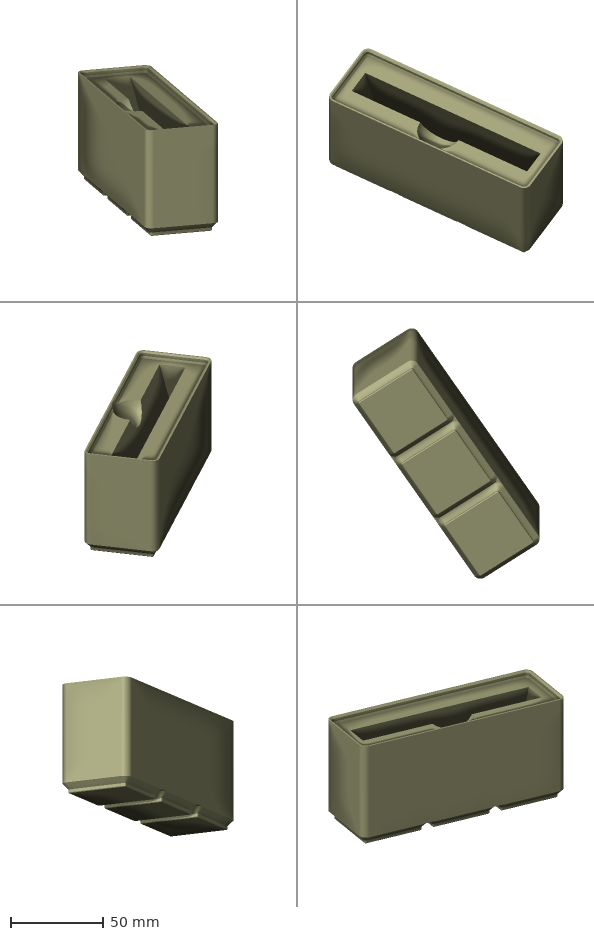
import cadquery as cq
import math

LENGTH = 125.5
WIDTH = 41.5
HEIGHT = 60.2
CORNER_RADIUS = 4.0

FOOT_COUNT = 3
CELL_CLEARANCE = 0.4
CELL_PITCH = (LENGTH + CELL_CLEARANCE) / FOOT_COUNT
CELL_WIDTH = WIDTH + CELL_CLEARANCE
FOOT_STEP = 3.4
FOOT_WALL_HEIGHT = 2.0
FOOT_CORNER_RADIUS = 0.8
FOOT_CHAMFER = 0.4
FOOT_HEIGHT = FOOT_WALL_HEIGHT + FOOT_STEP

LIP_RIM = 0.94
LIP_WALL_INSET = 1.8
LIP_WALL_HEIGHT = 1.8
LIP_FLOOR_INSET = 2.8
LIP_UPPER_SLOPE = LIP_WALL_INSET - LIP_RIM
LIP_LOWER_SLOPE = LIP_FLOOR_INSET - LIP_WALL_INSET
LIP_DEPTH = LIP_UPPER_SLOPE + LIP_WALL_HEIGHT + LIP_LOWER_SLOPE
SHELF_Z = HEIGHT - LIP_DEPTH

SLOT_LENGTH = 110.0
SLOT_THICKNESS = 13.9
SLOT_DEPTH = 51.1
SLOT_LEAN = 15.0
SLOT_FRONT_Y = -7.0

SCOOP_RADIUS = 12.5

SLOPE_ANGLE = 45.0


def rounded_prism(length, width, radius, base_z, height, flare=0.0):
    """Upright rounded rectangle; a positive flare angle widens it upwards."""
    outline = cq.Sketch().rect(length, width).vertices().fillet(radius)
    return cq.Workplane("XY", origin=(0, 0, base_z)).placeSketch(outline).extrude(height, taper=-flare)


def inset_prism(inset, base_z, height, flare=0.0):
    """Prism whose base is the body outline moved inwards by the inset."""
    return rounded_prism(
        LENGTH - 2 * inset, WIDTH - 2 * inset, CORNER_RADIUS - inset, base_z, height, flare
    )


def make_foot():
    length = CELL_PITCH - 2 * FOOT_STEP
    width = CELL_WIDTH - 2 * FOOT_STEP
    pad = rounded_prism(length, width, FOOT_CORNER_RADIUS, 0, FOOT_WALL_HEIGHT)
    pad = pad.faces("<Z").edges().chamfer(FOOT_CHAMFER)
    slope = rounded_prism(length, width, FOOT_CORNER_RADIUS, FOOT_WALL_HEIGHT, FOOT_STEP, SLOPE_ANGLE)
    return pad.union(slope)


def make_body():
    body = inset_prism(0, FOOT_HEIGHT, HEIGHT - FOOT_HEIGHT)
    trim = inset_prism(0, 0, HEIGHT)
    foot = make_foot()
    for index in range(FOOT_COUNT):
        foot_x = (index - (FOOT_COUNT - 1) / 2) * CELL_PITCH
        body = body.union(foot.translate((foot_x, 0, 0)).intersect(trim))
    return body


def make_lip_recess():
    wall_z = SHELF_Z + LIP_LOWER_SLOPE
    lower = inset_prism(LIP_FLOOR_INSET, SHELF_Z, LIP_LOWER_SLOPE, SLOPE_ANGLE)
    wall = inset_prism(LIP_WALL_INSET, wall_z, LIP_WALL_HEIGHT)
    upper = inset_prism(LIP_WALL_INSET, wall_z + LIP_WALL_HEIGHT, LIP_UPPER_SLOPE, SLOPE_ANGLE)
    return lower.union(wall).union(upper)


def make_slot():
    lean = math.radians(SLOT_LEAN)
    mouth_back_y = SLOT_FRONT_Y + SLOT_THICKNESS / math.cos(lean)
    floor_front = (SLOT_FRONT_Y + SLOT_DEPTH * math.sin(lean), SHELF_Z - SLOT_DEPTH * math.cos(lean))
    floor_back = (
        floor_front[0] + SLOT_THICKNESS * math.cos(lean),
        floor_front[1] + SLOT_THICKNESS * math.sin(lean),
    )
    profile = [(SLOT_FRONT_Y, SHELF_Z), floor_front, floor_back, (mouth_back_y, SHELF_Z)]
    return cq.Workplane("YZ").polyline(profile).close().extrude(SLOT_LENGTH / 2, both=True)


def make_scoop():
    """Ball centred over the front edge of the slot, level with the rim."""
    return cq.Workplane("XY", origin=(0, SLOT_FRONT_Y, HEIGHT)).sphere(SCOOP_RADIUS)


result = make_body().cut(make_lip_recess()).cut(make_slot()).cut(make_scoop())